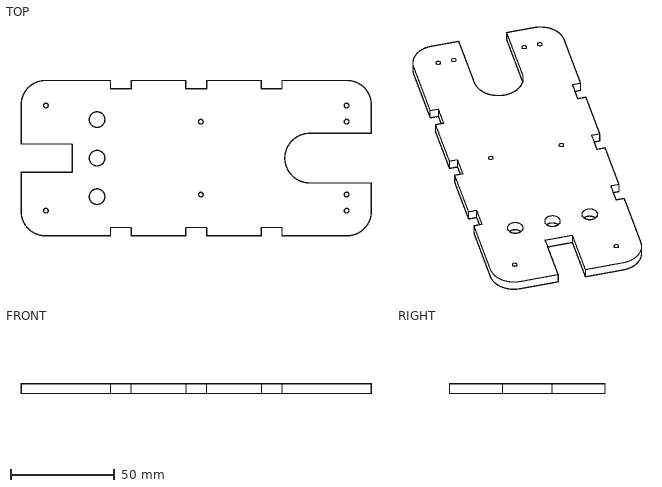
import cadquery as cq

length = 170.0
width = 75.5
thickness = 5.0
corner_radius = 11.9

notch_length = 10.0
notch_depth = 4.0
notch_pitch = 36.5

square_slot_depth = 24.8
square_slot_width = 13.6
round_slot_depth = 42.0
round_slot_width = 24.0

large_hole_diameter = 7.5
large_hole_x = -48.1
large_hole_pitch = 18.7
small_hole_diameter = 2.2
end_hole_x = 73.0
middle_hole_x = 2.2
outer_hole_y = 25.5
inner_hole_y = 17.7


def make_plate():
    plate = cq.Workplane("XY").box(length, width, thickness)
    return plate.edges("|Z").fillet(corner_radius)


def cut_notches(plate):
    centers = [(i * notch_pitch, side * width / 2) for i in (-1, 0, 1) for side in (-1, 1)]
    notches = cq.Workplane("XY").pushPoints(centers).box(notch_length, 2 * notch_depth, 2 * thickness)
    return plate.cut(notches)


def cut_square_slot(plate):
    slot = cq.Workplane("XY").center(-length / 2, 0)
    return plate.cut(slot.box(2 * square_slot_depth, square_slot_width, 2 * thickness))


def cut_round_slot(plate):
    top = plate.faces(">Z").workplane(origin=(0, 0, 0))
    return top.center(length / 2, 0).slot2D(2 * round_slot_depth, round_slot_width).cutThruAll()


def drill(plate, centers, diameter):
    top = plate.faces(">Z").workplane(origin=(0, 0, 0))
    return top.pushPoints(centers).hole(diameter)


large_hole_centers = [(large_hole_x, i * large_hole_pitch) for i in (-1, 0, 1)]
small_hole_pairs = [
    (-end_hole_x, outer_hole_y),
    (middle_hole_x, inner_hole_y),
    (end_hole_x, inner_hole_y),
    (end_hole_x, outer_hole_y),
]
small_hole_centers = [(x, side * y) for x, y in small_hole_pairs for side in (-1, 1)]

plate = make_plate()
plate = cut_notches(plate)
plate = cut_square_slot(plate)
plate = cut_round_slot(plate)
plate = drill(plate, large_hole_centers, large_hole_diameter)
result = drill(plate, small_hole_centers, small_hole_diameter)